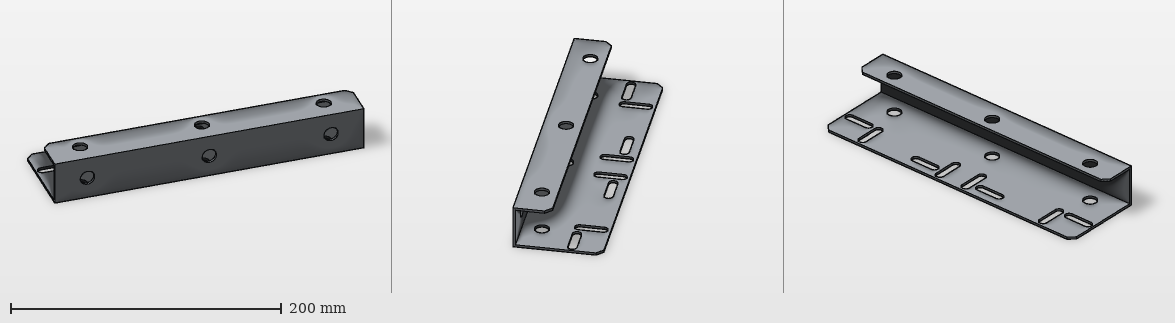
import cadquery as cq

length = 241.0
width = 67.5
height = 34.0
thickness = 2.0
upper_flange_width = 29.0
corner_chamfer = 5.0

hole_diameter = 11.0
hole_spacing = 95.0
hole_offset = height / 2

slot_length = 25.0
slot_width = 7.0
slot_edge_margin = 2.2
inner_lengthwise_offset = 10.8
inner_crosswise_y = 12.5
inner_lengthwise_y = 31.3
slot_group_spacing = 75.0

free_edge_x = -width / 2
web_face_x = width / 2
bottom_z = -height / 2
hole_positions = [-hole_spacing, 0, hole_spacing]


def make_flange(flange_width, base_z):
    """Flat flange reaching the web's outer face, with its free corners chamfered."""
    return (
        cq.Workplane("XY")
        .box(flange_width, length, thickness, centered=(False, True, False))
        .edges("|Z and <X")
        .chamfer(corner_chamfer)
        .translate((web_face_x - flange_width, 0, base_z))
    )


def make_slots(points, angle):
    """Slot cutters through the lower flange; angle 0 runs along X, 90 along Y."""
    return (
        cq.Workplane("XY", origin=(0, 0, bottom_z))
        .pushPoints(points)
        .slot2D(slot_length, slot_width, angle)
        .extrude(thickness)
    )


lower_flange = make_flange(width, bottom_z)
upper_flange = make_flange(upper_flange_width, height / 2 - thickness)
web = cq.Workplane("XY").box(thickness, length, height).translate((web_face_x - thickness / 2, 0, 0))
body = lower_flange.union(web).union(upper_flange)

flange_holes = (
    cq.Workplane("XY", origin=(0, 0, bottom_z))
    .pushPoints([(web_face_x - hole_offset, y) for y in hole_positions])
    .circle(hole_diameter / 2)
    .extrude(height)
)
web_holes = (
    cq.Workplane("YZ", origin=(web_face_x - thickness, 0, 0))
    .pushPoints([(y, 0) for y in hole_positions])
    .circle(hole_diameter / 2)
    .extrude(thickness)
)
body = body.cut(flange_holes).cut(web_holes)

crosswise_x = free_edge_x + slot_edge_margin + slot_length / 2
outer_lengthwise_x = crosswise_x + (slot_length - slot_width) / 2
inner_lengthwise_x = free_edge_x + inner_lengthwise_offset
outer_crosswise_y = inner_crosswise_y + slot_group_spacing
outer_lengthwise_y = inner_lengthwise_y + slot_group_spacing

crosswise_points = []
lengthwise_points = []
for side in (-1, 1):
    crosswise_points.append((crosswise_x, side * inner_crosswise_y))
    crosswise_points.append((crosswise_x, side * outer_crosswise_y))
    lengthwise_points.append((inner_lengthwise_x, side * inner_lengthwise_y))
    lengthwise_points.append((outer_lengthwise_x, side * outer_lengthwise_y))

result = body.cut(make_slots(crosswise_points, 0)).cut(make_slots(lengthwise_points, 90))